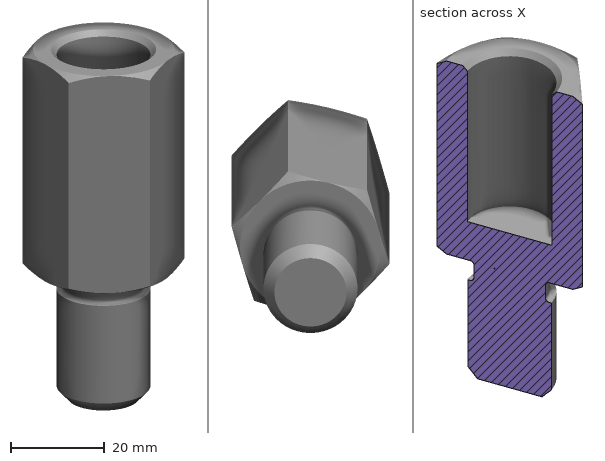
import cadquery as cq
import math

across_flats = 30.0
across_corners = across_flats / math.cos(math.radians(30))
total_length = 80.0
stud_length = 30.0
corner_bevel_angle = 30.0

stud_radius = 10.0
tip_radius = 7.7
tip_chamfer = 2.6
groove_radius = 8.6
groove_length = 5.0
groove_fillet = 0.8

socket_radius = 10.0
socket_mouth_radius = 11.2
socket_mouth_depth = socket_mouth_radius - socket_radius
socket_depth = 40.0


def revolve_about_z(profile):
    return profile.close().revolve(360, (0, 0, 0), (0, 1, 0))


def make_body():
    """Hexagonal prism with conical bevels on the corners at both ends."""
    prism = (
        cq.Workplane("XY")
        .workplane(offset=stud_length)
        .polygon(6, across_corners)
        .extrude(total_length - stud_length)
        .rotate((0, 0, 0), (0, 0, 1), 30)
    )
    flat_radius = across_flats / 2
    corner_radius = across_corners / 2
    bevel_height = (corner_radius - flat_radius) * math.tan(math.radians(corner_bevel_angle))
    envelope = revolve_about_z(
        cq.Workplane("XZ")
        .moveTo(0, stud_length)
        .lineTo(flat_radius, stud_length)
        .lineTo(corner_radius, stud_length + bevel_height)
        .lineTo(corner_radius, total_length - bevel_height)
        .lineTo(flat_radius, total_length)
        .lineTo(0, total_length)
    )
    return prism.intersect(envelope)


def make_stud():
    """Stud with a chamfered tip and a filleted undercut next to the body."""
    groove_bottom = stud_length - groove_length
    return revolve_about_z(
        cq.Workplane("XZ")
        .lineTo(tip_radius, 0)
        .lineTo(stud_radius, tip_chamfer)
        .lineTo(stud_radius, groove_bottom)
        .lineTo(groove_radius + groove_fillet, groove_bottom)
        .radiusArc((groove_radius, groove_bottom + groove_fillet), groove_fillet)
        .lineTo(groove_radius, stud_length - groove_fillet)
        .radiusArc((groove_radius + groove_fillet, stud_length), groove_fillet)
        .lineTo(0, stud_length)
    )


def make_socket():
    """Cutter for the flat-bottomed socket with a 45 degree mouth."""
    return revolve_about_z(
        cq.Workplane("XZ")
        .moveTo(0, total_length - socket_depth)
        .lineTo(socket_radius, total_length - socket_depth)
        .lineTo(socket_radius, total_length - socket_mouth_depth)
        .lineTo(socket_mouth_radius, total_length)
        .lineTo(0, total_length)
    )


result = make_body().union(make_stud()).cut(make_socket())